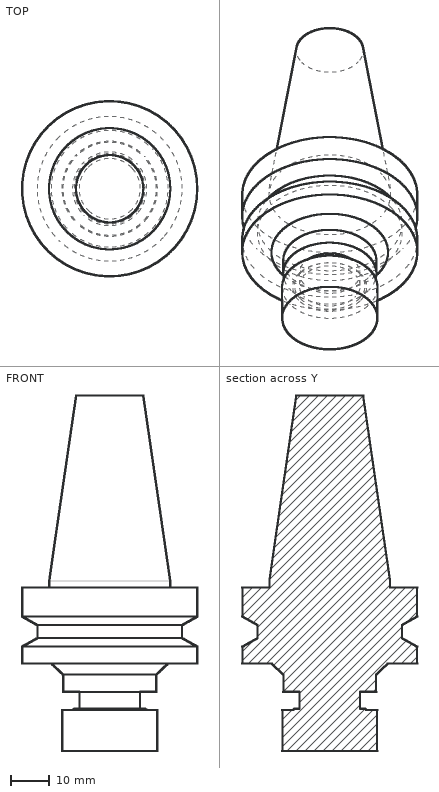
import cadquery as cq

nut_diameter = 25.0
collar_base_diameter = 19.4
collar_top_diameter = 18.5
neck_diameter = 16.0
hub_diameter = 24.5
hub_cone_diameter = 30.6
flange_diameter = 46.0
groove_diameter = 38.0
shank_diameter = 31.85
shank_end_diameter = 17.65

nut_top = 10.8
collar_top = 11.2
neck_top = 15.6
hub_top = 20.1
flange_bottom = 23.0
groove_center = 31.4
flange_top = 43.0
shank_band_top = 44.6
overall_height = 93.4

groove_floor_width = 3.4
groove_mouth_width = 7.8


def cone(bottom_diameter, top_diameter, bottom, top):
    """Round section about Z, tapering between two heights."""
    return (
        cq.Workplane("XZ")
        .moveTo(0, bottom)
        .lineTo(bottom_diameter / 2, bottom)
        .lineTo(top_diameter / 2, top)
        .lineTo(0, top)
        .close()
        .revolve(360, (0, 0, 0), (0, 1, 0))
    )


def cylinder(diameter, bottom, top):
    """Straight round section about Z."""
    return cone(diameter, diameter, bottom, top)


def collet_end():
    """Nut with its thin tapered collar, the neck, and the hub under the flange."""
    nut = cylinder(nut_diameter, 0, nut_top)
    collar = cone(collar_base_diameter, collar_top_diameter, nut_top, collar_top)
    neck = cylinder(neck_diameter, collar_top, neck_top)
    hub = cylinder(hub_diameter, neck_top, hub_top)
    hub_cone = cone(hub_diameter, hub_cone_diameter, hub_top, flange_bottom)
    return nut.union(collar).union(neck).union(hub).union(hub_cone)


def grooved_flange():
    """Flange with a flat-bottomed V-groove around its rim."""
    floor_bottom = groove_center - groove_floor_width / 2
    floor_top = groove_center + groove_floor_width / 2
    mouth_bottom = groove_center - groove_mouth_width / 2
    mouth_top = groove_center + groove_mouth_width / 2

    lower_rim = cylinder(flange_diameter, flange_bottom, mouth_bottom)
    lower_slope = cone(flange_diameter, groove_diameter, mouth_bottom, floor_bottom)
    floor = cylinder(groove_diameter, floor_bottom, floor_top)
    upper_slope = cone(groove_diameter, flange_diameter, floor_top, mouth_top)
    upper_rim = cylinder(flange_diameter, mouth_top, flange_top)
    return lower_rim.union(lower_slope).union(floor).union(upper_slope).union(upper_rim)


def taper_shank():
    """Short straight band followed by the long taper."""
    band = cylinder(shank_diameter, flange_top, shank_band_top)
    taper = cone(shank_diameter, shank_end_diameter, shank_band_top, overall_height)
    return band.union(taper)


result = collet_end().union(grooved_flange()).union(taper_shank())